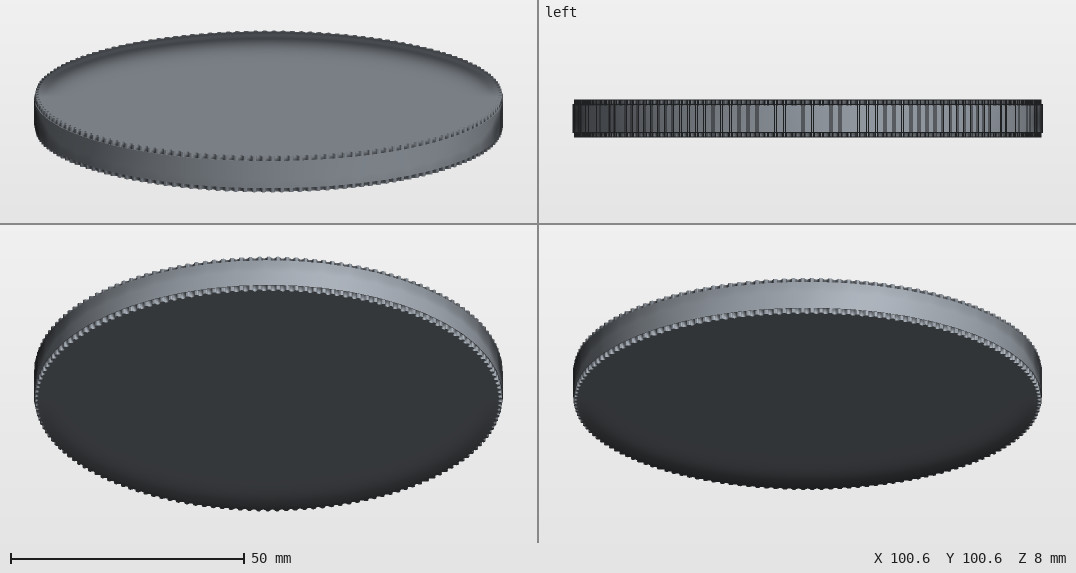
import cadquery as cq
import math

tooth_count = 158
tooth_pitch = 2.0
height = 8.0
pitch_radius = tooth_count * tooth_pitch / (2 * math.pi)

band_thickness = 0.254
band_end_margin = 1.0
band_height = height - 2 * band_end_margin
tip_radius = pitch_radius - band_thickness

groove_depth = 0.75
groove_bottom_radius = 0.555
corner_chamfer = 0.15
mouth_half_width = 0.77
cutter_overshoot = 0.5


def groove_cutter():
    """One groove cutter, parallel to the disc axis at the +X side."""
    floor_x = tip_radius - groove_depth
    flank_start_x = floor_x + groove_bottom_radius
    flank_end_x = tip_radius - corner_chamfer
    flank_end_y = mouth_half_width - corner_chamfer
    outside_x = tip_radius + cutter_overshoot
    return (
        cq.Workplane("XY")
        .moveTo(flank_start_x, -groove_bottom_radius)
        .threePointArc((floor_x, 0), (flank_start_x, groove_bottom_radius))
        .lineTo(flank_end_x, flank_end_y)
        .lineTo(tip_radius, mouth_half_width)
        .lineTo(outside_x, mouth_half_width)
        .lineTo(outside_x, -mouth_half_width)
        .lineTo(tip_radius, -mouth_half_width)
        .lineTo(flank_end_x, -flank_end_y)
        .close()
        .extrude(height)
        .val()
    )


def make_toothed_disc():
    """Disc with one groove per tooth, the first centred on the +X axis."""
    cutter = groove_cutter()
    step_angle = 360 / tooth_count
    axis_start = cq.Vector(0, 0, 0)
    axis_end = cq.Vector(0, 0, 1)
    cutters = [cutter.rotate(axis_start, axis_end, i * step_angle) for i in range(tooth_count)]
    disc = cq.Workplane("XY").circle(tip_radius).extrude(height)
    return disc.cut(cq.Workplane(cq.Compound.makeCompound(cutters)))


def make_band():
    """Thin ring around the tooth tips, set back from both end faces."""
    return (
        cq.Workplane("XY")
        .workplane(offset=band_end_margin)
        .circle(pitch_radius)
        .circle(tip_radius)
        .extrude(band_height)
    )


result = make_toothed_disc().union(make_band())